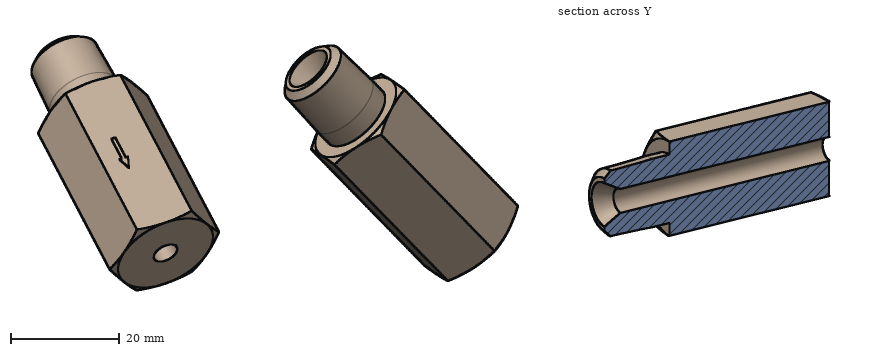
import cadquery as cq
import math

total_length = 49.25

across_flats = 19.05
across_corners = across_flats / math.cos(math.radians(30))
body_start = 14.2
body_length = total_length - body_start
hex_chamfer_angle = 22.0
envelope_clearance = 0.5

spigot_diameter = 13.9
taper_small_diameter = 13.3
taper_end = 10.55
tip_chamfer = 1.35
tip_diameter = taper_small_diameter - 2 * tip_chamfer

bore_diameter = 4.75
mouth_diameter = 8.75
mouth_half_angle = 30.0

arrow_tail = 27.6
arrow_shoulder = 32.55
arrow_tip = 35.0
arrow_center_y = -1.35
arrow_shaft_width = 0.8
arrow_head_width = 1.7
arrow_depth = 0.1


def revolve_about_x(profile):
    """Revolve a closed (x, radius) outline about the X axis."""
    outline = cq.Workplane("XY").polyline(profile).close()
    return outline.revolve(360, (0, 0, 0), (1, 0, 0))


def make_hex_body():
    """Hexagonal bar with its corners chamfered conically at both ends."""
    bar = cq.Workplane("YZ").workplane(offset=body_start)
    bar = bar.polygon(6, across_corners).extrude(body_length)

    flat_radius = across_flats / 2
    envelope_radius = across_corners / 2 + envelope_clearance
    cone_length = (envelope_radius - flat_radius) * math.tan(math.radians(hex_chamfer_angle))
    envelope = revolve_about_x([
        (body_start, 0),
        (body_start, flat_radius),
        (body_start + cone_length, envelope_radius),
        (total_length - cone_length, envelope_radius),
        (total_length, flat_radius),
        (total_length, 0),
    ])
    return bar.intersect(envelope)


def make_spigot():
    """Tapered male end, carried up to the face of the body."""
    return revolve_about_x([
        (0, 0),
        (0, tip_diameter / 2),
        (tip_chamfer, taper_small_diameter / 2),
        (taper_end, spigot_diameter / 2),
        (body_start, spigot_diameter / 2),
        (body_start, 0),
    ])


def make_bore():
    """Straight bore through the part, flared to a cone at the spigot tip."""
    mouth_depth = (mouth_diameter - bore_diameter) / 2 / math.tan(math.radians(mouth_half_angle))
    return revolve_about_x([
        (0, 0),
        (0, mouth_diameter / 2),
        (mouth_depth, bore_diameter / 2),
        (total_length, bore_diameter / 2),
        (total_length, 0),
    ])


def make_flow_arrow():
    """Arrow pointing along +X, sunk into the upper flat."""
    half_outline = [
        (arrow_tail, arrow_shaft_width / 2),
        (arrow_shoulder, arrow_shaft_width / 2),
        (arrow_shoulder, arrow_head_width / 2),
        (arrow_tip, 0),
    ]
    mirrored_half = [(x, -y) for x, y in reversed(half_outline[:-1])]
    floor = cq.Workplane("XY", origin=(0, arrow_center_y, across_flats / 2 - arrow_depth))
    return floor.polyline(half_outline + mirrored_half).close().extrude(arrow_depth)


result = make_hex_body().union(make_spigot()).cut(make_bore()).cut(make_flow_arrow())